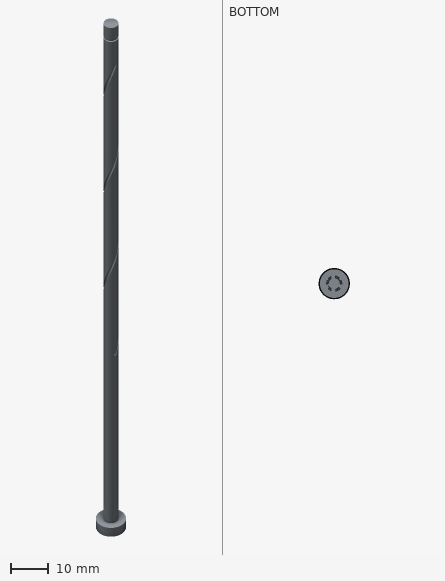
import cadquery as cq

total_length = 173.82
rod_diameter = 4.0
head_diameter = 8.0
head_height = 3.0

ring_groove_diameter = 3.2
ring_groove_width = 0.8
ring_groove_top_offset = 4.0

helix_turns = 3
helix_height = 100.0
helix_top_offset = 13.2
helix_groove_radius = 0.4

rod_radius = rod_diameter / 2
helix_pitch = helix_height / helix_turns
helix_base = total_length - helix_top_offset - helix_height


def make_headed_rod():
    """Round rod standing on a flat cylindrical head."""
    head = cq.Workplane("XY").circle(head_diameter / 2).extrude(head_height)
    rod = cq.Workplane("XY").circle(rod_radius).extrude(total_length)
    return head.union(rod)


def make_ring_groove():
    """Ring of material removed to leave the narrow neck near the free end."""
    groove_floor = total_length - ring_groove_top_offset - ring_groove_width
    return (
        cq.Workplane("XY", origin=(0, 0, groove_floor))
        .circle(head_diameter / 2)
        .circle(ring_groove_diameter / 2)
        .extrude(ring_groove_width)
    )


def make_helical_groove():
    """Round cutter swept along the helix, centred on the rod surface."""
    helix = cq.Wire.makeHelix(helix_pitch, helix_height, rod_radius)
    start = helix.positionAt(0)
    tangent = helix.tangentAt(0)
    profile_plane = cq.Plane(origin=start, xDir=(1, 0, 0), normal=tangent)
    cutter = (
        cq.Workplane(profile_plane)
        .circle(helix_groove_radius)
        .sweep(cq.Workplane(obj=helix), isFrenet=True)
    )
    return cutter.translate((0, 0, helix_base))


result = make_headed_rod().cut(make_ring_groove()).cut(make_helical_groove())